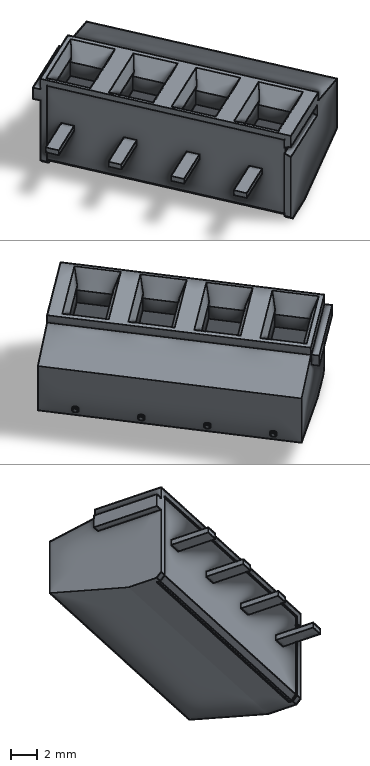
import cadquery as cq


pole_count = 4
overall_length = 20.93
rib_width = 0.6
length = overall_length - rib_width
pitch = length / pole_count
depth = 9.9
height = 8.12
step_depth = 5.88
step_height = 7.35
back_top = 6.6
back_bottom = 1.9
flat_bottom_depth = 2.9
front_chamfer = 0.4

frame_width = 0.52
recess_depth = 0.13
recess_wrap = 0.71

pole_offset = 2.18
mouth_width = 3.58
throat_width = 2.78
side_taper_depth = 1.0
mouth_front = 0.25
mouth_back = 5.5
throat_front = 1.5
throat_back = 4.35
end_taper_depth = 1.25
opening_depth = 2.57

rib_length = 5.6
rib_height = 1.07
rib_center_height = 6.6
groove_mouth = 0.96
groove_floor = 0.52

pin_width = 1.05
pin_thickness = 0.45
pin_length = 3.18
pin_center_height = height / 2

nub_diameter = 0.55
nub_height = 0.19
nub_chamfer = 0.08
nub_center_height = 2.55


def end_profile_prism(points, x_start, x_length):
    """Extrude a (Y, Z) outline along +X."""
    return cq.Workplane("YZ", origin=(x_start, 0, 0)).polyline(points).close().extrude(x_length)


def make_housing():
    outline = [
        (front_chamfer, 0),
        (flat_bottom_depth, 0),
        (depth, back_bottom),
        (depth, back_top),
        (step_depth, step_height),
        (step_depth, height),
        (0, height),
        (0, front_chamfer),
    ]
    return end_profile_prism(outline, 0, length)


def make_front_recess():
    """Layer of even thickness removed from the front, the chamfer and the edge of the underside."""
    outline = [
        (0, 0),
        (recess_wrap, 0),
        (recess_wrap, recess_depth),
        (recess_depth + front_chamfer, recess_depth),
        (recess_depth, recess_depth + front_chamfer),
        (recess_depth, height - frame_width),
        (0, height - frame_width),
    ]
    return end_profile_prism(outline, frame_width, length - 2 * frame_width)


def make_wire_opening(x_center):
    """Funnel whose side walls straighten at a shallower depth than its front and back walls."""
    floor = height - opening_depth
    side_taper_end = height - side_taper_depth
    end_taper_end = height - end_taper_depth
    half_mouth = mouth_width / 2
    half_throat = throat_width / 2
    width_outline = [
        (x_center - half_mouth, height),
        (x_center - half_throat, side_taper_end),
        (x_center - half_throat, floor),
        (x_center + half_throat, floor),
        (x_center + half_throat, side_taper_end),
        (x_center + half_mouth, height),
    ]
    depth_outline = [
        (mouth_front, height),
        (throat_front, end_taper_end),
        (throat_front, floor),
        (throat_back, floor),
        (throat_back, end_taper_end),
        (mouth_back, height),
    ]
    across = cq.Workplane("XZ").polyline(width_outline).close().extrude(-depth)
    along = end_profile_prism(depth_outline, x_center - half_mouth, mouth_width)
    return across.intersect(along)


def make_rib():
    corner = (-rib_width, 0, rib_center_height - rib_height / 2)
    return cq.Workplane("XY", origin=corner).box(rib_width, rib_length, rib_height, centered=False)


def make_groove():
    outline = [
        (length, rib_center_height + groove_mouth / 2),
        (length - frame_width, rib_center_height + groove_floor / 2),
        (length - frame_width, rib_center_height - groove_floor / 2),
        (length, rib_center_height - groove_mouth / 2),
    ]
    return cq.Workplane("XZ").polyline(outline).close().extrude(-rib_length)


def make_pin(x_center):
    """Flat pin standing out from the floor of the front recess."""
    base = cq.Workplane("XZ", origin=(x_center, recess_depth, pin_center_height))
    return base.rect(pin_width, pin_thickness).extrude(recess_depth + pin_length)


def make_nub(x_center):
    base = cq.Workplane("XZ", origin=(x_center, depth, nub_center_height))
    return base.circle(nub_diameter / 2).extrude(-nub_height).faces(">Y").chamfer(nub_chamfer)


result = make_housing().union(make_rib()).cut(make_front_recess()).cut(make_groove())
for pole in range(pole_count):
    pole_center = pole_offset + pole * pitch
    result = result.cut(make_wire_opening(pole_center))
    result = result.union(make_pin(pole_center))
    result = result.union(make_nub(pole_center))